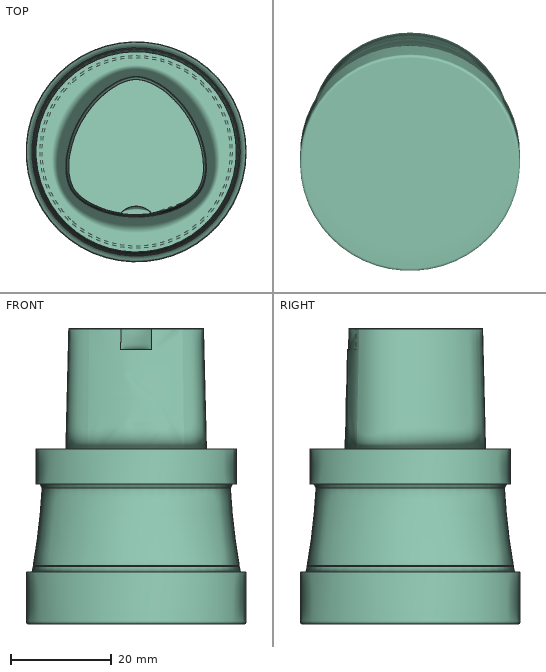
import cadquery as cq
import math

total_height = 59.0
shank_height = 24.0
flange_thickness = 7.0
flange_top = total_height - shank_height
flange_bottom = flange_top - flange_thickness

collar_radius = 43.95 / 2
collar_height = 10.45
collar_bottom_fillet = 0.55
collar_top_fillet = 0.35
seat_height = 1.05
seat_bottom_radius = 20.8
seat_top_radius = 20.6
seat_top = collar_height + seat_height

flange_radius = 40.0 / 2
fillet_cone_height = 0.75
fillet_cone_radius = 19.25
neck_top_radius = 18.8
neck_waist_radius = 19.45
neck_foot_radius = 20.6
neck_top = flange_bottom - fillet_cone_height
foot_groove_height = 0.2
foot_groove_depth = 0.25
neck_foot = seat_top + foot_groove_height

shank_base_radius = 14.05
shank_taper = 0.6
shank_top_radius = shank_base_radius - shank_taper
lobe_height = 1.0
lobe_count = 3
points_per_face = 7

notch_radius = 8.0 / 2
notch_depth = 4.2
notch_back = 10.85


def lobe_point(mean_radius, angle, z):
    """Point of a constant-width trochoid with one lobe pointing to +Y."""
    phase = angle - math.pi / 2
    along_normal = mean_radius + lobe_height * math.cos(lobe_count * phase)
    along_tangent = -lobe_count * lobe_height * math.sin(lobe_count * phase)
    x = along_normal * math.cos(angle) - along_tangent * math.sin(angle)
    y = along_normal * math.sin(angle) + along_tangent * math.cos(angle)
    return cq.Vector(x, y, z)


def lobe_wire(mean_radius, z):
    """Closed outline alternating lobe and flank curves, tangent where they meet."""
    face_count = 2 * lobe_count
    face_angle = 2 * math.pi / face_count
    edges = []
    for face in range(face_count):
        start = face * face_angle
        angles = [start + face_angle * i / (points_per_face - 1) for i in range(points_per_face)]
        points = [lobe_point(mean_radius, angle, z) for angle in angles]
        tangents = [cq.Vector(-math.sin(a), math.cos(a), 0) for a in (angles[0], angles[-1])]
        edges.append(cq.Edge.makeSpline(points, tangents=tangents))
    return cq.Wire.assembleEdges(edges)


def make_shank():
    base = lobe_wire(shank_base_radius, flange_top)
    top = lobe_wire(shank_top_radius, total_height)
    shank = cq.Workplane(cq.Solid.makeLoft([base, top], True))
    notch = (
        cq.Workplane("XY", origin=(0, -notch_back - notch_radius, total_height - notch_depth))
        .circle(notch_radius)
        .extrude(notch_depth)
    )
    return shank.cut(notch)


def make_holder():
    """Flange on a flared neck, carrying the shank."""
    groove_radius = neck_foot_radius - foot_groove_depth
    neck_middle = (neck_top + neck_foot) / 2
    body = (
        cq.Workplane("XZ")
        .moveTo(0, seat_top)
        .lineTo(groove_radius, seat_top)
        .lineTo(groove_radius, neck_foot)
        .lineTo(neck_foot_radius, neck_foot)
        .threePointArc((neck_waist_radius, neck_middle), (neck_top_radius, neck_top))
        .lineTo(fillet_cone_radius, flange_bottom)
        .lineTo(flange_radius, flange_bottom)
        .lineTo(flange_radius, flange_top)
        .lineTo(0, flange_top)
        .close()
        .revolve(360, (0, 0), (0, 1))
    )
    return body.union(make_shank())


def make_collar():
    """Round collar with a low conical seat for the holder."""
    disc = (
        cq.Workplane("XY")
        .circle(collar_radius)
        .extrude(collar_height)
        .faces("<Z").edges().fillet(collar_bottom_fillet)
        .faces(">Z").edges().fillet(collar_top_fillet)
    )
    seat = cq.Workplane(
        cq.Solid.makeCone(seat_bottom_radius, seat_top_radius, seat_height, pnt=(0, 0, collar_height))
    )
    return disc.union(seat)


collar = make_collar()
holder = make_holder()
result = cq.Compound.makeCompound([collar.val(), holder.val()])